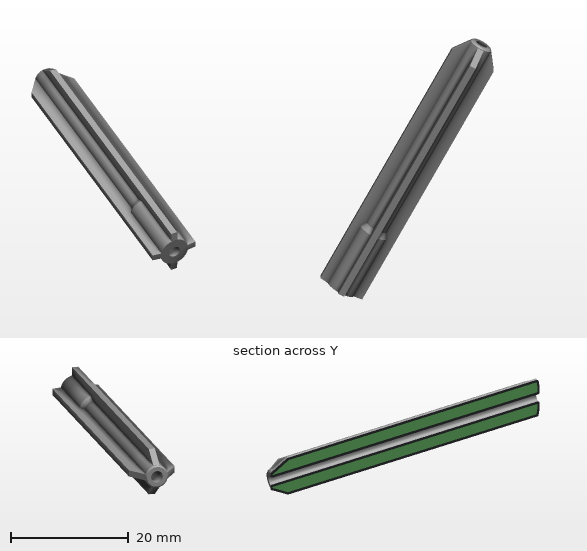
import cadquery as cq

length = 50.0
fin_span = 8.1
fin_thickness = 1.1
fin_count = 4

bore_diameter = 2.05
core_diameter = 4.0
nose_chamfer = 0.25
collar_diameter = 5.1
collar_length = 11.65
shoulder_length = 1.05

nose_fin_start = 0.35
nose_taper_length = 2.8
tail_taper_length = 0.2

core_radius = core_diameter / 2
collar_radius = collar_diameter / 2
fin_radius = fin_span / 2
collar_start = length - collar_length


def make_core():
    """Stepped round core with a chamfered nose and a conical shoulder."""
    profile = [
        (0, 0),
        (0, core_radius - nose_chamfer),
        (nose_chamfer, core_radius),
        (collar_start - shoulder_length, core_radius),
        (collar_start, collar_radius),
        (length, collar_radius),
        (length, 0),
    ]
    return cq.Workplane("XY").polyline(profile).close().revolve(360, (0, 0, 0), (1, 0, 0))


def make_fin():
    """Upright fin from the axis outward, sloped at both ends."""
    outline = [
        (nose_fin_start, 0),
        (nose_fin_start, core_radius),
        (nose_fin_start + nose_taper_length, fin_radius),
        (length - tail_taper_length, fin_radius),
        (length, collar_radius),
        (length, 0),
    ]
    return cq.Workplane("XZ").polyline(outline).close().extrude(fin_thickness / 2, both=True)


result = make_core()
fin = make_fin()
for index in range(fin_count):
    result = result.union(fin.rotate((0, 0, 0), (1, 0, 0), index * 360 / fin_count))

bore = cq.Workplane("YZ").circle(bore_diameter / 2).extrude(length)
result = result.cut(bore)